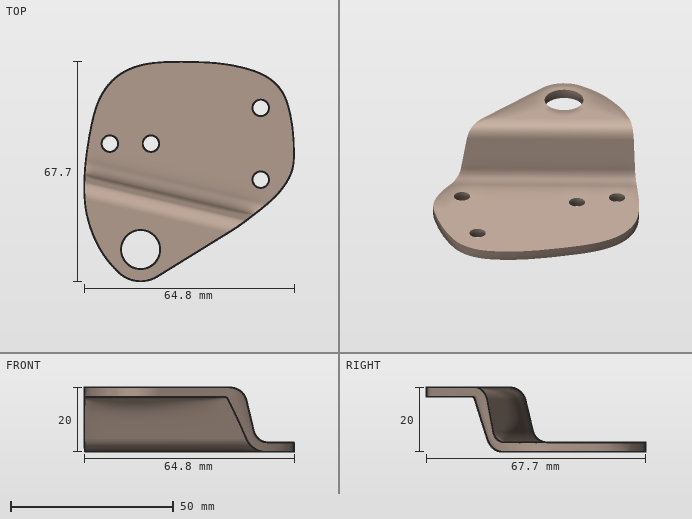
import cadquery as cq
import math

thickness = 3.0
height = 20.0
shelf = height - thickness

nose_radius = 9.8
right_edge_angle = 31.7
left_edge_angle = 45.0
straight_edge_length = 27.1
freeform_points = [
    (34.8, 10.6), (40.7, 15.5), (44.8, 20.3), (46.9, 24.85), (47.35, 30.2),
    (45.8, 43.3), (43.95, 48.15), (39.9, 52.6), (33.1, 55.7), (23.4, 57.5),
    (11.9, 57.9), (2.2, 57.3), (-6.0, 54.25), (-10.7, 49.8), (-13.35, 44.9),
    (-15.2, 38.35), (-16.8, 28.6), (-17.4, 20.0), (-16.6, 10.6), (-13.75, 2.45),
]

bend_angle = 13.3
web_top_low = 19.3
web_top_high = 15.3
web_under_low = 17.9
web_under_high = 10.85
low_inner_radius = 4.4
high_outer_radius = 5.3
low_outer_radius = 6.45
high_inner_radius = 1.0
profile_reach = 101.6

large_hole_diameter = 12.0
small_hole_diameter = 5.0
pair_y = 32.65
column_x = 37.05
small_hole_centres = [(-9.5, pair_y), (3.2, pair_y), (column_x, 43.7), (column_x, 21.55)]


def nose_point(degrees):
    """Point on the rounded nose at a polar angle."""
    angle = math.radians(degrees)
    return (nose_radius * math.cos(angle), nose_radius * math.sin(angle))


def outline_prism():
    """Plan outline extruded through the full height."""
    left_end = nose_point(180 + left_edge_angle)
    right_end = nose_point(right_edge_angle - 90)
    right_direction = (math.cos(math.radians(right_edge_angle)), math.sin(math.radians(right_edge_angle)))
    left_direction = (math.cos(math.radians(left_edge_angle)), -math.sin(math.radians(left_edge_angle)))
    edge_end = (
        right_end[0] + straight_edge_length * right_direction[0],
        right_end[1] + straight_edge_length * right_direction[1],
    )
    return (
        cq.Workplane("XY")
        .moveTo(*left_end)
        .threePointArc(nose_point(270), right_end)
        .lineTo(*edge_end)
        .spline(freeform_points + [left_end], tangents=[right_direction, left_direction], includeCurrent=True)
        .close()
        .extrude(height)
    )


def joggled_plate():
    """Bent sheet: low plate toward +Y, tapered web, raised tab toward -Y."""
    plate = (
        cq.Workplane("YZ")
        .moveTo(profile_reach, 0)
        .lineTo(profile_reach, thickness)
        .lineTo(web_top_low, thickness)
        .lineTo(web_top_high, height)
        .lineTo(-profile_reach, height)
        .lineTo(-profile_reach, shelf)
        .lineTo(web_under_high, shelf)
        .lineTo(web_under_low, 0)
        .close()
        .extrude(profile_reach, both=True)
    )
    bends = [
        (web_top_low, thickness, low_inner_radius),
        (web_top_high, height, high_outer_radius),
        (web_under_low, 0, low_outer_radius),
        (web_under_high, shelf, high_inner_radius),
    ]
    for distance, z, radius in bends:
        plate = plate.edges(cq.selectors.NearestToPointSelector((0, distance, z))).fillet(radius)
    return plate.rotate((0, 0, 0), (0, 0, 1), -bend_angle)


def hole_cutters():
    """Vertical cylinders for the large hole and the four small holes."""
    large = cq.Workplane("XY").circle(large_hole_diameter / 2).extrude(height)
    small = cq.Workplane("XY").pushPoints(small_hole_centres).circle(small_hole_diameter / 2).extrude(height)
    return large.union(small)


result = outline_prism().intersect(joggled_plate()).cut(hole_cutters())